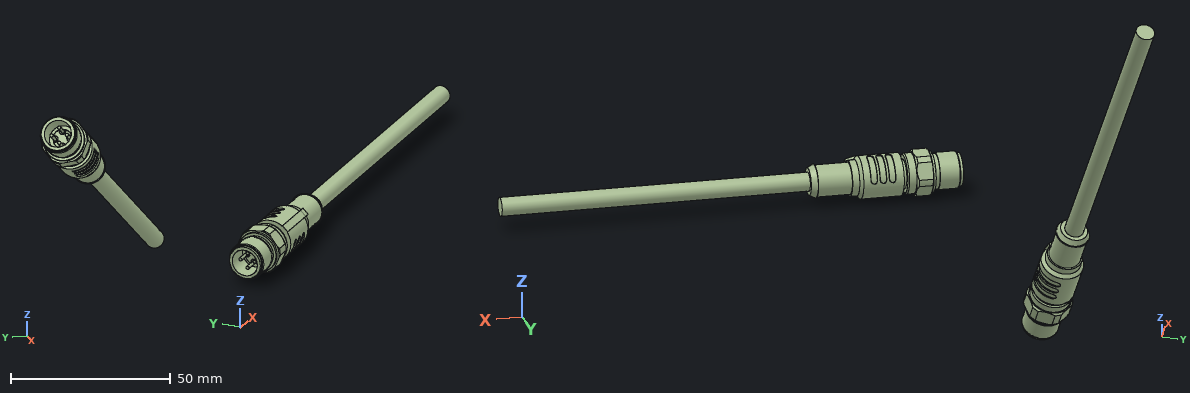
import cadquery as cq
import math

TOTAL_LENGTH = 148.9

RIM_RADIUS = 5.4
RIM_LENGTH = 1.0
THREAD_RADIUS = 6.0
THREAD_CHAMFER = 0.3
THREAD_END = 7.7
RELIEF_RADIUS = 5.7
RELIEF_END = 9.2
FLANGE_RADIUS = 6.5

NUT_START = 10.1
NUT_END = 15.5
NUT_CORNER_DIAMETER = 15.0
NUT_CORNER_RADIUS = NUT_CORNER_DIAMETER / 2
NUT_ACROSS_FLATS = 14.0
NUT_SIDES = 6
NUT_CORNER_STEP = 360 / NUT_SIDES
NUT_FLAT_ANGLE = 22.0
NUT_FRONT_CHAMFER = 0.3
NUT_BACK_CHAMFER = 0.6

COLLAR_RADIUS = 6.5
COLLAR_END = 18.3
COLLAR_CHAMFER = 0.5
NECK_RADIUS = 4.8

BODY_DIAMETER = 13.8
BODY_RADIUS = BODY_DIAMETER / 2
BODY_START = 19.7
BODY_END = 32.8
SHOULDER_RADIUS = 5.8
SHOULDER_END = 33.8
SLEEVE_RADIUS = 5.7
BOOT_START = 36.0

BOOT_DIAMETER = 10.3
BOOT_RADIUS = BOOT_DIAMETER / 2
BOOT_RIM_RADIUS = 5.5
BOOT_RIM_START = 47.0
BOOT_END_DIAMETER = 8.8
BOOT_END_RADIUS = BOOT_END_DIAMETER / 2
BOOT_END = 49.1
CABLE_DIAMETER = 6.1
CABLE_RADIUS = CABLE_DIAMETER / 2

RAIL_ANGLE = 135.0
RAIL_WIDTH = 2.5
RAIL_HEIGHT = 7.0
RAIL_END = 36.3
RAIL_SLOPE_START = 33.4
RAIL_END_HEIGHT = 6.3

GROOVE_ANGLES = (RAIL_ANGLE - 90, RAIL_ANGLE + 90)
GROOVE_COUNT = 3
GROOVE_PITCH = 3.0
GROOVE_FIRST_X = 23.4
GROOVE_WIDTH = 2.1
GROOVE_LENGTH = 10.0
GROOVE_DEPTH = 0.5

CAVITY_RADIUS = 4.3
CAVITY_DEPTH = 7.7
PIN_RADIUS = 0.52
PIN_CIRCLE_DIAMETER = 4.9
PIN_OFFSET = PIN_CIRCLE_DIAMETER / 2
PIN_COUNT = 4
PIN_TIP = 2.1
PIN_WELL_RADIUS = 1.0
PIN_WELL_DEPTH = 0.7
INSERT_DIAMETER = 6.1
INSERT_RADIUS = INSERT_DIAMETER / 2
INSERT_FACE = 6.8


def turned(points):
    """Solid of revolution about X from an (x, radius) outline above the axis."""
    closed = [(points[0][0], 0)] + points + [(points[-1][0], 0)]
    return cq.Workplane("XY").polyline(closed).close().revolve(360, (0, 0), (1, 0))


def rod(start, end, radius):
    return cq.Workplane("YZ", origin=(start, 0, 0)).circle(radius).extrude(end - start)


def turn_about_x(shape, angle):
    """Turn a shape from +Y towards +Z."""
    return shape.rotate((0, 0, 0), (1, 0, 0), angle)


def make_core():
    return turned([
        (0, RIM_RADIUS),
        (RIM_LENGTH, RIM_RADIUS),
        (RIM_LENGTH, THREAD_RADIUS - THREAD_CHAMFER),
        (RIM_LENGTH + THREAD_CHAMFER, THREAD_RADIUS),
        (THREAD_END, THREAD_RADIUS),
        (THREAD_END, RELIEF_RADIUS),
        (RELIEF_END, RELIEF_RADIUS),
        (RELIEF_END, FLANGE_RADIUS),
        (NUT_START, FLANGE_RADIUS),
        (NUT_END, COLLAR_RADIUS),
        (COLLAR_END - COLLAR_CHAMFER, COLLAR_RADIUS),
        (COLLAR_END, COLLAR_RADIUS - COLLAR_CHAMFER),
        (COLLAR_END, NECK_RADIUS),
        (BODY_START, NECK_RADIUS),
        (BODY_START, BODY_RADIUS),
        (BODY_END, BODY_RADIUS),
        (SHOULDER_END, SHOULDER_RADIUS),
        (BOOT_START, SLEEVE_RADIUS),
        (BOOT_START, BOOT_RADIUS),
        (BOOT_RIM_START, BOOT_RADIUS),
        (BOOT_RIM_START, BOOT_RIM_RADIUS),
        (BOOT_END, BOOT_END_RADIUS),
        (BOOT_END, CABLE_RADIUS),
        (TOTAL_LENGTH, CABLE_RADIUS),
    ])


def make_nut():
    hexagon_diameter = NUT_ACROSS_FLATS / math.cos(math.pi / NUT_SIDES)
    hexagon = (
        cq.Workplane("YZ", origin=(NUT_START, 0, 0))
        .polygon(NUT_SIDES, hexagon_diameter)
        .extrude(NUT_END - NUT_START)
    )
    hexagon = turn_about_x(hexagon, NUT_FLAT_ANGLE - NUT_CORNER_STEP / 2)
    blank = turned([
        (NUT_START, NUT_CORNER_RADIUS - NUT_FRONT_CHAMFER),
        (NUT_START + NUT_FRONT_CHAMFER, NUT_CORNER_RADIUS),
        (NUT_END - NUT_BACK_CHAMFER, NUT_CORNER_RADIUS),
        (NUT_END, NUT_CORNER_RADIUS - NUT_BACK_CHAMFER),
    ])
    return hexagon.intersect(blank)


def make_rail():
    rail = (
        cq.Workplane("XY")
        .moveTo(BODY_START, 0)
        .lineTo(BODY_START, RAIL_HEIGHT)
        .lineTo(RAIL_SLOPE_START, RAIL_HEIGHT)
        .lineTo(RAIL_END, RAIL_END_HEIGHT)
        .lineTo(RAIL_END, 0)
        .close()
        .extrude(RAIL_WIDTH / 2, both=True)
    )
    return turn_about_x(rail, RAIL_ANGLE)


def make_finger_groove(x, angle):
    """Round-ended groove following the body surface, facing the given angle."""
    slot = (
        cq.Workplane("XZ", origin=(x, 0, 0))
        .slot2D(GROOVE_LENGTH, GROOVE_WIDTH, 90)
        .extrude(-2 * BODY_RADIUS)
    )
    floor = rod(BODY_START, BODY_END, BODY_RADIUS - GROOVE_DEPTH)
    return turn_about_x(slot.cut(floor), angle)


def make_insert():
    """Raised disc on the cavity floor, with a pin standing in each of its wells."""
    insert = rod(INSERT_FACE, CAVITY_DEPTH, INSERT_RADIUS)
    well = rod(INSERT_FACE, INSERT_FACE + PIN_WELL_DEPTH, PIN_WELL_RADIUS).translate((0, PIN_OFFSET, 0))
    pin = rod(PIN_TIP, CAVITY_DEPTH, PIN_RADIUS).translate((0, PIN_OFFSET, 0))
    for index in range(PIN_COUNT):
        angle = index * 360 / PIN_COUNT
        insert = insert.cut(turn_about_x(well, angle))
        insert = insert.union(turn_about_x(pin, angle))
    return insert


result = make_core().union(make_nut()).union(make_rail())

for groove_angle in GROOVE_ANGLES:
    for index in range(GROOVE_COUNT):
        groove_x = GROOVE_FIRST_X + index * GROOVE_PITCH
        result = result.cut(make_finger_groove(groove_x, groove_angle))

result = result.cut(rod(0, CAVITY_DEPTH, CAVITY_RADIUS))
result = result.union(make_insert())